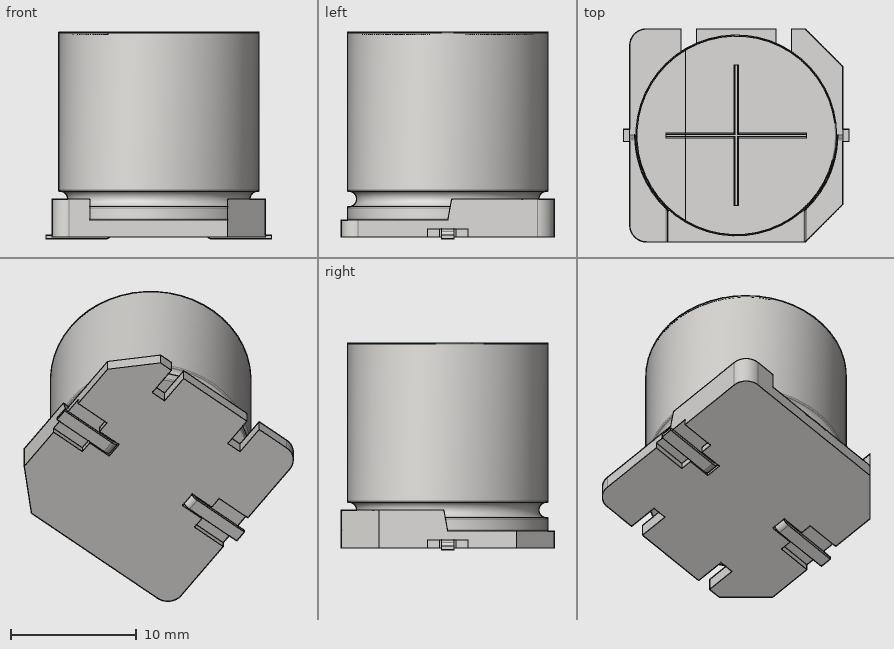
import cadquery as cq

standoff = 0.15
floor_height = 1.5
base_height = 3.19
total_height = 16.5

base_width = 17.0
corner_radius = 1.35
corner_chamfer = 3.0
edge_blend = 0.09
step_run = 0.3
bore_clearance = 0.09
slot_inner = 3.17
slot_outer = 4.4
slot_length = 2.52
notch_width = 3.24
notch_height = 0.81
notch_depth = 2.88
channel_width = 1.3

can_radius = 16.0 / 2
groove_radius = 0.61
groove_depth = 0.72
groove_height = 3.19
cross_length = 11.2
cross_width = 0.4
cross_floor = 0.18
cross_depth = 0.09
can_blend = 0.09

mark_edge = -4.03
mark_depth = 0.2

lead_tip = 9.0
lead_width = 1.0
lead_thickness = 0.3
lead_bend = 0.3
lead_leg_inner = 3.67

half_base = base_width / 2
window_half_width = half_base - corner_chamfer
lead_leg_outer = lead_leg_inner + lead_thickness


def box(x_range, y_range, z_range):
    """Box between two limits along each axis."""
    limits = (x_range, y_range, z_range)
    sizes = [high - low for low, high in limits]
    corner = tuple(low for low, high in limits)
    return cq.Workplane().box(*sizes, centered=False).translate(corner)


def base_outline():
    """Square block with two rounded corners and two chamfered corners."""
    block = box((-half_base, half_base), (-half_base, half_base), (standoff, base_height))
    block = block.edges("|Z and <X").fillet(corner_radius)
    return block.edges("|Z and >X").chamfer(corner_chamfer)


def stepped_block():
    """Oversize block, low at the back and between two raised front arms."""
    reach = base_width
    block = box((-reach, reach), (-reach, reach), (standoff, floor_height))
    arm_length = reach - window_half_width
    arm = (
        cq.Workplane("YZ")
        .polyline([
            (-reach, floor_height),
            (0, floor_height),
            (-step_run, base_height),
            (-reach, base_height),
        ])
        .close()
        .extrude(arm_length)
    )
    block = block.union(arm.translate((window_half_width, 0, 0)))
    block = block.union(arm.translate((-reach, 0, 0)))
    for side in (-1, 1):
        x_wall = side * window_half_width
        x_middle = side * (window_half_width + arm_length / 2)
        y_middle = -(reach + step_run) / 2
        wall_edges = [(x_wall, y_middle, base_height), (x_wall, -reach / 2, floor_height)]
        slope_edges = [(x_middle, -step_run, base_height), (x_middle, 0, floor_height)]
        for point in wall_edges + slope_edges:
            block = block.edges(cq.selectors.NearestToPointSelector(point)).fillet(edge_blend)
    return block


def side_openings(side):
    """Openings in one half of the base: back slot, lead notch, lead channel and leg hole."""
    back_slot = box(
        sorted((side * slot_inner, side * slot_outer)),
        (half_base - slot_length, half_base),
        (standoff, base_height),
    )
    notch = box(
        sorted((side * half_base, side * (half_base - notch_depth))),
        (-notch_width / 2, notch_width / 2),
        (standoff, notch_height),
    )
    channel = box(
        sorted((side * half_base, side * lead_leg_inner)),
        (-channel_width / 2, channel_width / 2),
        (standoff, notch_height),
    )
    leg_hole = box(
        sorted((side * lead_leg_inner, side * lead_leg_outer)),
        (-lead_width / 2, lead_width / 2),
        (standoff, floor_height),
    )
    return [back_slot, notch, channel, leg_hole]


def make_base():
    base = base_outline().intersect(stepped_block())
    bore = cq.Workplane().workplane(offset=floor_height).circle(can_radius + bore_clearance)
    base = base.cut(bore.extrude(base_height))
    for side in (-1, 1):
        for opening in side_openings(side):
            base = base.cut(opening)
    return base


def cross_groove():
    """Shallow tapered vent grooves forming a cross in the top of the can."""
    section = [
        (-cross_width / 2, total_height),
        (cross_width / 2, total_height),
        (cross_floor / 2, total_height - cross_depth),
        (-cross_floor / 2, total_height - cross_depth),
    ]
    arm = cq.Workplane("XZ").polyline(section).close().extrude(cross_length / 2, both=True)
    return arm.union(arm.rotate((0, 0, 0), (0, 0, 1), 90))


def mark_blank():
    """Circle segment inlaid in the flat top of the can."""
    flat_radius = can_radius - can_blend
    disc = cq.Workplane().workplane(offset=total_height - mark_depth).circle(flat_radius).extrude(mark_depth)
    segment = box((-can_radius, mark_edge), (-can_radius, can_radius), (0, total_height))
    return disc.intersect(segment)


def groove_ring():
    """Ring that cuts the rolled groove: a half-round floor between two flat ledges."""
    arc_centre = can_radius - groove_depth + groove_radius
    reach = can_radius + groove_radius
    bottom = groove_height - groove_radius
    top = groove_height + groove_radius
    return (
        cq.Workplane("XZ")
        .moveTo(reach, bottom)
        .lineTo(arc_centre, bottom)
        .threePointArc((can_radius - groove_depth, groove_height), (arc_centre, top))
        .lineTo(reach, top)
        .close()
        .revolve(360, (0, 0), (0, 1))
    )


def make_can():
    can = cq.Workplane().workplane(offset=floor_height).circle(can_radius)
    can = can.extrude(total_height - floor_height).cut(groove_ring())
    can_edges = cq.selectors.RadiusNthSelector(-1)
    can = can.edges(can_edges).fillet(can_blend)
    return can.cut(mark_blank()).cut(cross_groove())


def make_mark():
    return mark_blank().cut(cross_groove())


def make_lead(side):
    """L-shaped strip: a foot along X and a leg rising to the can."""
    lead = (
        cq.Workplane("XZ")
        .moveTo(lead_tip, 0)
        .lineTo(lead_leg_inner, 0)
        .lineTo(lead_leg_inner, floor_height)
        .lineTo(lead_leg_outer, floor_height)
        .lineTo(lead_leg_outer, lead_thickness)
        .lineTo(lead_tip, lead_thickness)
        .close()
        .extrude(lead_width / 2, both=True)
    )
    inside_corner = (lead_leg_outer, 0, lead_thickness)
    lead = lead.edges(cq.selectors.NearestToPointSelector(inside_corner)).fillet(lead_bend)
    outside_corner = (lead_leg_inner, 0, 0)
    lead = lead.edges(cq.selectors.NearestToPointSelector(outside_corner)).fillet(lead_bend + lead_thickness)
    return lead if side > 0 else lead.mirror("YZ")


base = make_base()
can = make_can()
polarity_mark = make_mark()
leads = [make_lead(side) for side in (-1, 1)]

result = cq.Compound.makeCompound([
    base.val(),
    can.val(),
    polarity_mark.val(),
    *[lead.val() for lead in leads],
])